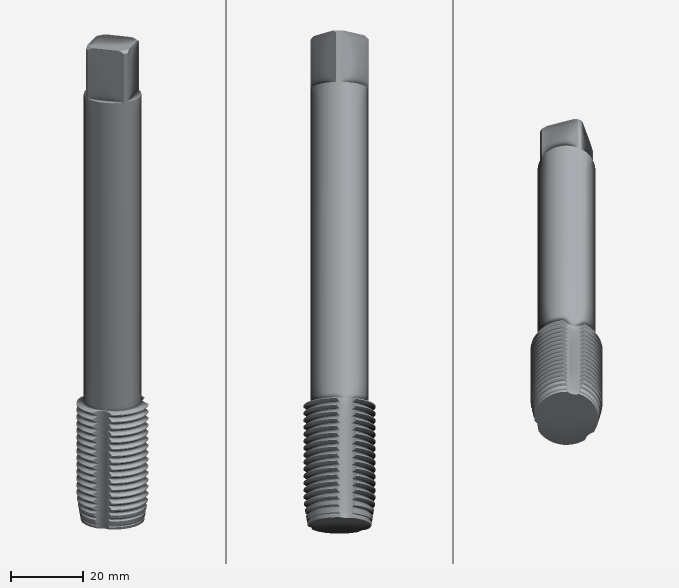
import cadquery as cq
import math

total_length = 140.0
shank_diameter = 16.0
shank_end = 15.0
square_side = 12.0
square_length = 15.0
square_tip_radius = 7.1
square_tip_height = 0.7

thread_length = 35.0
thread_diameter = 20.0
pitch_count = 17.5
shoulder_height = 34.6
flute_count = 3
flute_radius = 3.5
flute_depth = 1.8
lead_diameter = 17.6
lead_length = 7.0

shank_radius = shank_diameter / 2
square_start = total_length - square_length
thread_radius = thread_diameter / 2
pitch = thread_length / pitch_count
flat_width = pitch / 8
sharp_height = pitch * math.sqrt(3) / 2
thread_depth = sharp_height * 3 / 4
root_radius = thread_radius - thread_depth


def make_square():
    """Driving square whose corners are trimmed round and bevelled at the top."""
    block = (
        cq.Workplane("XY")
        .workplane(offset=square_start)
        .rect(square_side, square_side)
        .extrude(square_length)
    )
    envelope = (
        cq.Workplane("XZ")
        .moveTo(0, square_start)
        .lineTo(shank_radius, square_start)
        .lineTo(shank_radius, total_length - square_tip_height)
        .lineTo(square_tip_radius, total_length)
        .lineTo(0, total_length)
        .close()
        .revolve()
    )
    return block.intersect(envelope)


def make_shank():
    """Round shank, seated in the head at its lower end, with the square on top."""
    round_part = (
        cq.Workplane("XY")
        .workplane(offset=shank_end)
        .circle(shank_radius)
        .extrude(square_start - shank_end)
    )
    return round_part.union(make_square())


def make_ridged_blank():
    """Turned blank with parallel thread ridges and a socket for the shank.

    The lowest ridge and root run past the tip face and are trimmed there by the lead envelope.
    """
    profile = (
        cq.Workplane("XZ")
        .moveTo(0, shank_end)
        .lineTo(shank_radius, shank_end)
        .lineTo(shank_radius, shoulder_height)
    )
    for ridge in range(math.ceil(pitch_count)):
        crest_z = thread_length - (ridge + 0.5) * pitch
        root_z = crest_z - pitch / 2
        profile = (
            profile.lineTo(thread_radius, crest_z + flat_width / 2)
            .lineTo(thread_radius, crest_z - flat_width / 2)
            .lineTo(root_radius, root_z + flat_width / 2)
            .lineTo(root_radius, root_z - flat_width / 2)
        )
    return profile.lineTo(0, root_z - flat_width / 2).close().revolve()


def make_lead_envelope():
    """Turned envelope that ends the head at the tip face and tapers the crests towards it."""
    return (
        cq.Workplane("XZ")
        .lineTo(lead_diameter / 2, 0)
        .lineTo(thread_radius, lead_length)
        .lineTo(thread_radius, thread_length)
        .lineTo(0, thread_length)
        .close()
        .revolve()
    )


def make_head():
    """Threaded head with straight flutes, the first one facing -Y."""
    head = make_ridged_blank().intersect(make_lead_envelope())
    flute_center_distance = thread_radius - flute_depth + flute_radius
    flute = (
        cq.Workplane("XY")
        .center(0, -flute_center_distance)
        .circle(flute_radius)
        .extrude(thread_length)
    )
    for index in range(flute_count):
        angle = index * 360 / flute_count
        head = head.cut(flute.rotate((0, 0, 0), (0, 0, 1), angle))
    return head


shank = make_shank()
head = make_head()
result = cq.Compound.makeCompound([shank.solids().val(), head.solids().val()])